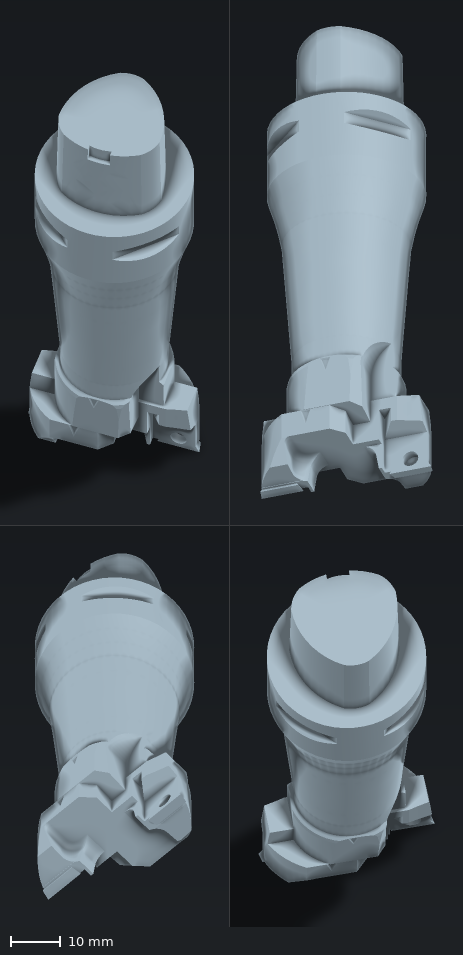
import cadquery as cq
import math

HALF_TURN = 180
BIG = 40.8

TOP_Z = 102.0
COUPLING_Z = 83.1
COUPLING_R = 11.0
COUPLING_DRAFT = 0.4
LOBE_RISE = 0.73
LOBE_HALF_ANGLE = 13
KEY_HALF_WIDTH = 2.3
KEY_DEPTH = 3.2
KEY_FLOOR_R = 9.0

FLANGE_R = 32.0 / 2
FLANGE_BOTTOM_Z = 68.1
FLARE_BOTTOM_Z = 56.2
FLARE_BOTTOM_R = 13.1
FLARE_MID_R = 14.3
NECK_BOTTOM_Z = 28.3
NECK_R = 11.0

SLOT_Z = 77.0
SLOT_FLOOR_DISTANCE = 14.2
SLOT_FLOOR_HEIGHT = 2.5
SLOT_MOUTH_HEIGHT = 4.8

HEAD_R = 12.0
SHOULDER_TOP_Z = 23.7
SHOULDER_MID_R = 11.8
SHOULDER_MID_Z = 23.0
SHOULDER_BOTTOM_Z = 22.0
END_FLAT_X = 11.5
SIDE_FLAT_TOP = (-11.3, 23.5)
SIDE_FLAT_BOTTOM = (-10.8, 12.0)
SIDE_FLAT_EDGE_X = 4.4
GULLET_X = 6.3
GULLET_CORNER_Y = 8.6
GULLET_CORNER_TOP_Y = 9.6
GULLET_WALL_Y = -3.2
GULLET_ARC_Z = 21.1
GULLET_ARC_MID = (7.3, 25.6)
GULLET_EXIT = (11.4, 29.5)

JOINT_EDGE_Y = 10.7
JOINT_EDGE_Z = 12.0
JOINT_CENTER_Z = 10.5

HOLDER_BOTTOM_Z = 0.7
HOLDER_FRONT_Y = -3.7
HOLDER_MATE_Y = -4.2
HOLDER_BACK_Y = JOINT_EDGE_Y
HOLDER_END_X = -2.7
HOLDER_END_CHAMFER = 2.5
HOLDER_OUTER_X = 17.1
HOLDER_BACK_START = (HOLDER_OUTER_X, 2.7)
HOLDER_BACK_MID = (14.4, 7.1)
HOLDER_BACK_END = (10.1, HOLDER_BACK_Y)
TOWER_TOP_Z = 16.0
TOWER_BACK_Y = 3.6
TOWER_GAP = 0.3
TOWER_FRONT = [(12.0, HOLDER_FRONT_Y), (14.0, -3.2), (HOLDER_OUTER_X, -2.4)]
LEAN_START_Z = 8.6
LEAN_TOP_X = 16.3
UNDERCUT = [(HOLDER_BACK_Y, 6.3), (8.2, 1.5), (2.7, 0.8)]
ARCH_Z = 6.4
ARCH_TOP_X = 4.5
ARCH_MID = (6.0, 5.7)
ARCH_LEG = (6.9, 4.3)
ARCH_FOOT_X = 7.6
LEG_HALF_THICKNESS = 1.9
BACK_RELIEF_X = 9.7
BACK_RELIEF_R = 3.3
BACK_RELIEF_ROOF_R = 1.3

SEAT_X = 8.2
SEAT_Y = 0.0
SEAT_TOP_Z = 8.6
SEAT_ROOF_Z = 10.3
GROOVE_TOP_Z = 13.5
GROOVE_FRONT_X = 10.7
INSERT_TIP_X = 36.0 / 2
INSERT_WIDTH = 8.9
INSERT_HEIGHT = 8.2
INSERT_THICKNESS = 2.1
INSERT_RELIEF = 7
INSERT_HOLE_D = 3.4
INSERT_LIFT = 0.2

MARK_WIDTH = 2.2
MARK_HEIGHT = 3.5
MARK_DEPTH = 0.3
MARK_DRAFT = 45
HEAD_MARK_X = -0.6
HEAD_MARK_Z = 23.2
HOLDER_MARK_X = -5.0


def turned(shape, angle):
    return shape.rotate((0, 0, 0), (0, 0, 1), angle)


def plan(z):
    return cq.Workplane("XY", origin=(0, 0, z))


def along_x(points, start, length):
    """Prism along +X from a closed (Y, Z) outline."""
    return cq.Workplane("YZ", origin=(start, 0, 0)).polyline(points).close().extrude(length)


def half_space(points):
    """Large block bounded by the plane through three points, counterclockwise seen from outside."""
    a, b, c = [cq.Vector(*point) for point in points]
    normal = (b - a).cross(c - a)
    return cq.Workplane(cq.Plane(origin=a, xDir=b - a, normal=normal)).rect(BIG, BIG).extrude(BIG)


def index_mark(x, y, z):
    """Cutter for a downward pointing arrow mark sunk into a face that looks toward -Y."""
    face = cq.Workplane("XZ", origin=(0, y, 0))
    corners = [(x - MARK_WIDTH / 2, z), (x + MARK_WIDTH / 2, z), (x, z - MARK_HEIGHT)]
    return face.polyline(corners).close().extrude(-MARK_DEPTH, taper=MARK_DRAFT)


def coupling_wire(mean_radius, z):
    """Closed three-lobed outline of six arcs, one lobe toward +Y."""
    def point(angle):
        a = math.radians(angle)
        radius = mean_radius - LOBE_RISE * math.sin(3 * a)
        return (radius * math.cos(a), radius * math.sin(a))

    outline = plan(z).moveTo(*point(90 - LOBE_HALF_ANGLE))
    for lobe in (90, 210, 330):
        outline = outline.threePointArc(point(lobe), point(lobe + LOBE_HALF_ANGLE))
        outline = outline.threePointArc(point(lobe + 60), point(lobe + 120 - LOBE_HALF_ANGLE))
    return outline.close().val()


def coupling():
    wires = [coupling_wire(COUPLING_R, COUPLING_Z), coupling_wire(COUPLING_R - COUPLING_DRAFT, TOP_Z)]
    body = cq.Workplane(cq.Solid.makeLoft(wires, True))
    key = plan(TOP_Z - KEY_DEPTH).rect(2 * KEY_HALF_WIDTH, BIG).extrude(KEY_DEPTH)
    key = key.cut(plan(TOP_Z - KEY_DEPTH).circle(KEY_FLOOR_R).extrude(KEY_DEPTH))
    key = key.intersect(plan(0).center(0, -BIG / 2).rect(BIG, BIG).extrude(TOP_Z))
    return body.cut(key)


def turned_body():
    """Flange, flare, neck and round head, down to the lowest line of the V joint."""
    flare_mid_z = (FLANGE_BOTTOM_Z + FLARE_BOTTOM_Z) / 2
    return (
        cq.Workplane("XZ")
        .moveTo(0, COUPLING_Z)
        .lineTo(FLANGE_R, COUPLING_Z)
        .lineTo(FLANGE_R, FLANGE_BOTTOM_Z)
        .threePointArc((FLARE_MID_R, flare_mid_z), (FLARE_BOTTOM_R, FLARE_BOTTOM_Z))
        .lineTo(NECK_R, NECK_BOTTOM_Z)
        .lineTo(NECK_R, SHOULDER_TOP_Z)
        .lineTo(SHOULDER_MID_R, SHOULDER_MID_Z)
        .lineTo(HEAD_R, SHOULDER_BOTTOM_Z)
        .lineTo(HEAD_R, JOINT_CENTER_Z)
        .lineTo(0, JOINT_CENTER_Z)
        .close()
        .revolve(360, (0, 0), (0, 1))
    )


def below_joint():
    """Everything below the V joint surface."""
    slope = (JOINT_EDGE_Z - JOINT_CENTER_Z) / JOINT_EDGE_Y
    rim_z = JOINT_CENTER_Z + slope * BIG / 2
    outline = [(-BIG / 2, 0), (BIG / 2, 0), (BIG / 2, rim_z), (0, JOINT_CENTER_Z), (-BIG / 2, rim_z)]
    return along_x(outline, -BIG / 2, BIG)


def gripper_slot():
    """Trapezoidal slot across the +X side of the flange."""
    depth = FLANGE_R - SLOT_FLOOR_DISTANCE
    floor = SLOT_FLOOR_HEIGHT / 2
    mouth = SLOT_MOUTH_HEIGHT / 2
    outline = [(0, -floor), (depth, -mouth), (depth, mouth), (0, floor)]
    section = cq.Workplane("XZ", origin=(SLOT_FLOOR_DISTANCE, 0, SLOT_Z)).polyline(outline).close()
    return section.extrude(BIG / 2, both=True)


def gullet():
    """Chip space in front of the +X holder, running out through the neck in an arc."""
    return (
        cq.Workplane("XZ", origin=(0, GULLET_WALL_Y, 0))
        .moveTo(GULLET_X, 0)
        .lineTo(GULLET_X, GULLET_ARC_Z)
        .threePointArc(GULLET_ARC_MID, GULLET_EXIT)
        .lineTo(BIG, GULLET_EXIT[1])
        .lineTo(BIG, 0)
        .close()
        .extrude(BIG)
    )


def tower_slot():
    """Recess in the head that takes the tower of the +X holder."""
    outline = [(GULLET_X, GULLET_WALL_Y), (BIG, GULLET_WALL_Y), (BIG, TOWER_BACK_Y), (GULLET_X, TOWER_BACK_Y)]
    return plan(0).polyline(outline).close().extrude(TOWER_TOP_Z + TOWER_GAP)


def side_flat():
    """Leaning flat on the -Y side of the head."""
    top_y, top_z = SIDE_FLAT_TOP
    bottom_y, bottom_z = SIDE_FLAT_BOTTOM
    outline = [(top_y, top_z), (bottom_y, bottom_z), (bottom_y, 0), (-BIG, 0), (-BIG, top_z)]
    return along_x(outline, -BIG / 2, BIG)


def gullet_bevel():
    """Plane between the -Y flat and the gullet floor."""
    bottom_y, bottom_z = SIDE_FLAT_BOTTOM
    corner = (GULLET_X, -GULLET_CORNER_Y, bottom_z)
    upper_corner = (GULLET_X, -GULLET_CORNER_TOP_Y, SHOULDER_BOTTOM_Z)
    return half_space([(SIDE_FLAT_EDGE_X, bottom_y, bottom_z), corner, upper_corner])


def end_flat():
    """Everything beyond the flat on the +X end of the head."""
    block = cq.Workplane("XY").box(BIG, BIG, SHOULDER_TOP_Z, centered=(False, True, False))
    return block.translate((END_FLAT_X, 0, 0))


def make_arbor():
    body = turned_body().union(coupling()).cut(below_joint())
    for angle in (45, 135, 225, 315):
        body = body.cut(turned(gripper_slot(), angle))
    mark = index_mark(HEAD_MARK_X, SIDE_FLAT_TOP[0], HEAD_MARK_Z)
    for angle in (0, HALF_TURN):
        for cutter in (gullet(), tower_slot(), side_flat(), end_flat(), gullet_bevel(), mark):
            body = body.cut(turned(cutter, angle))
    return body


def holder_blank():
    """Plan outline of the holder, raised to the top of the tower."""
    return (
        plan(HOLDER_BOTTOM_Z)
        .moveTo(0, HOLDER_MATE_Y)
        .lineTo(-HOLDER_END_X, HOLDER_MATE_Y)
        .lineTo(-HOLDER_END_X, HOLDER_FRONT_Y)
        .polyline(TOWER_FRONT, includeCurrent=True)
        .lineTo(*HOLDER_BACK_START)
        .threePointArc(HOLDER_BACK_MID, HOLDER_BACK_END)
        .lineTo(HOLDER_END_X + HOLDER_END_CHAMFER, HOLDER_BACK_Y)
        .lineTo(HOLDER_END_X, HOLDER_BACK_Y - HOLDER_END_CHAMFER)
        .lineTo(HOLDER_END_X, -HOLDER_MATE_Y)
        .lineTo(0, -HOLDER_MATE_Y)
        .close()
        .extrude(TOWER_TOP_Z - HOLDER_BOTTOM_Z)
    )


def tower_space():
    """Space above the joint that the tower may fill."""
    outline = [(GULLET_X, -BIG), (BIG, -BIG), (BIG, TOWER_BACK_Y), (GULLET_X, TOWER_BACK_Y)]
    return plan(0).polyline(outline).close().extrude(BIG)


def outer_lean():
    """Everything outside the leaning outer face."""
    outline = [(HOLDER_OUTER_X, LEAN_START_Z), (LEAN_TOP_X, TOWER_TOP_Z), (BIG, TOWER_TOP_Z), (BIG, LEAN_START_Z)]
    return cq.Workplane("XZ").polyline(outline).close().extrude(BIG / 2, both=True)


def back_undercut():
    (edge_y, edge_z), knee, inner = UNDERCUT
    outline = [(edge_y, edge_z), knee, inner, (inner[0], 0), (BIG, 0), (BIG, edge_z)]
    return along_x(outline, -BIG / 2, BIG)


def arch():
    """Opening between the two holders."""
    return (
        cq.Workplane("XZ")
        .moveTo(-BIG, 0)
        .lineTo(-BIG, ARCH_Z)
        .lineTo(ARCH_TOP_X, ARCH_Z)
        .threePointArc(ARCH_MID, ARCH_LEG)
        .lineTo(ARCH_FOOT_X, 0)
        .close()
        .extrude(BIG / 2, both=True)
    )


def back_relief():
    """Rounded pocket that thins the leg from behind."""
    block = cq.Workplane("XY").box(BIG, BIG, 2 * ARCH_Z, centered=(False, False, True))
    block = block.translate((BACK_RELIEF_X - BIG, LEG_HALF_THICKNESS, 0))
    block = block.edges(">X and <Y").fillet(BACK_RELIEF_R)
    return block.faces(">Z").edges().fillet(BACK_RELIEF_ROOF_R)


def front_relief():
    """Step that thins the leg from the front."""
    block = cq.Workplane("XY").box(BIG, BIG, 2 * ARCH_Z)
    return block.translate((SEAT_X - BIG / 2, -LEG_HALF_THICKNESS - BIG / 2, 0))


def seat():
    """Open seat in front of the insert, with a sloped roof and a wedge groove at its inner end."""
    front_y = HOLDER_FRONT_Y
    space = along_x(
        [(SEAT_Y, 0), (SEAT_Y, SEAT_TOP_Z), (front_y, SEAT_ROOF_Z), (front_y, 0)], SEAT_X, BIG
    )
    wedge = [(SEAT_X, SEAT_Y), (SEAT_X, front_y), (GROOVE_FRONT_X, front_y)]
    return space.union(plan(0).polyline(wedge).close().extrude(GROOVE_TOP_Z))


def make_holder(insert_lift):
    blank = holder_blank()
    body = blank.intersect(below_joint()).union(blank.intersect(tower_space()))
    cutters = [outer_lean(), back_undercut(), arch(), back_relief(), front_relief(), seat()]
    back_mark = turned(index_mark(HOLDER_MARK_X, -HOLDER_BACK_Y, JOINT_EDGE_Z), HALF_TURN)
    cutters += [back_mark, insert_blank(insert_lift)]
    for cutter in cutters:
        body = body.cut(cutter)
    return body


def insert_blank(lift):
    """Triangular insert without its hole, cutting face at the seat, flanks relieved toward +Y."""
    corners = [
        (INSERT_TIP_X - INSERT_WIDTH, lift),
        (INSERT_TIP_X, lift),
        (INSERT_TIP_X - INSERT_WIDTH / 2, lift + INSERT_HEIGHT),
    ]
    face = cq.Workplane("XZ", origin=(0, SEAT_Y, 0)).polyline(corners).close()
    return face.extrude(-INSERT_THICKNESS, taper=INSERT_RELIEF)


def make_insert(lift):
    center_x = INSERT_TIP_X - INSERT_WIDTH / 2
    center_z = lift + INSERT_HEIGHT / 3
    hole = cq.Workplane("XZ", origin=(0, SEAT_Y, 0)).center(center_x, center_z).circle(INSERT_HOLE_D / 2)
    return insert_blank(lift).cut(hole.extrude(-INSERT_THICKNESS))


arbor = make_arbor()
holders = []
inserts = []
for angle, lift in ((0, 0.0), (HALF_TURN, INSERT_LIFT)):
    holders.append(turned(make_holder(lift), angle))
    inserts.append(turned(make_insert(lift), angle))

result = cq.Compound.makeCompound(
    [arbor.val(), *[holder.val() for holder in holders], *[insert.val() for insert in inserts]]
)